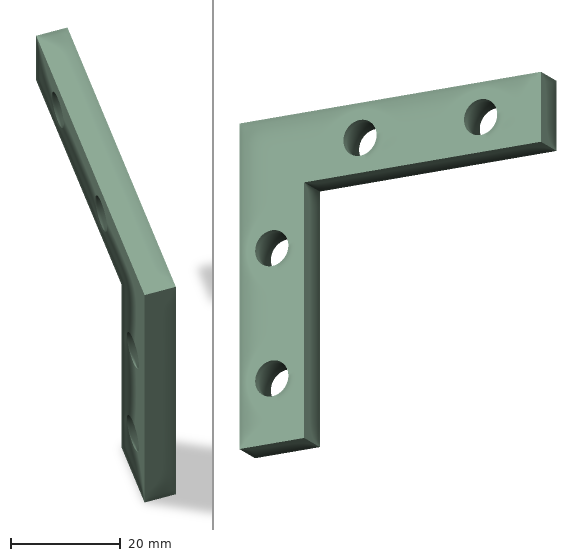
import cadquery as cq

leg_length = 62.5
leg_width = 13.45
thickness = 6.0
hole_diameter = 6.9
hole_distances = (12.5, 37.5)


def plate(x_size, z_size):
    """Rectangular leg with its outer top corner at (leg_length, leg_length)."""
    x_start = leg_length - x_size
    z_start = leg_length - z_size
    return cq.Workplane("XY").box(x_size, thickness, z_size, centered=False).translate((x_start, 0, z_start))


centerline = leg_length - leg_width / 2
top_leg_holes = [(distance, centerline) for distance in hole_distances]
side_leg_holes = [(centerline, distance) for distance in hole_distances]

top_leg = plate(leg_length, leg_width)
side_leg = plate(leg_width, leg_length)
holes = (
    cq.Workplane("XZ")
    .pushPoints(top_leg_holes + side_leg_holes)
    .circle(hole_diameter / 2)
    .extrude(-thickness)
)

result = top_leg.union(side_leg).clean().cut(holes)